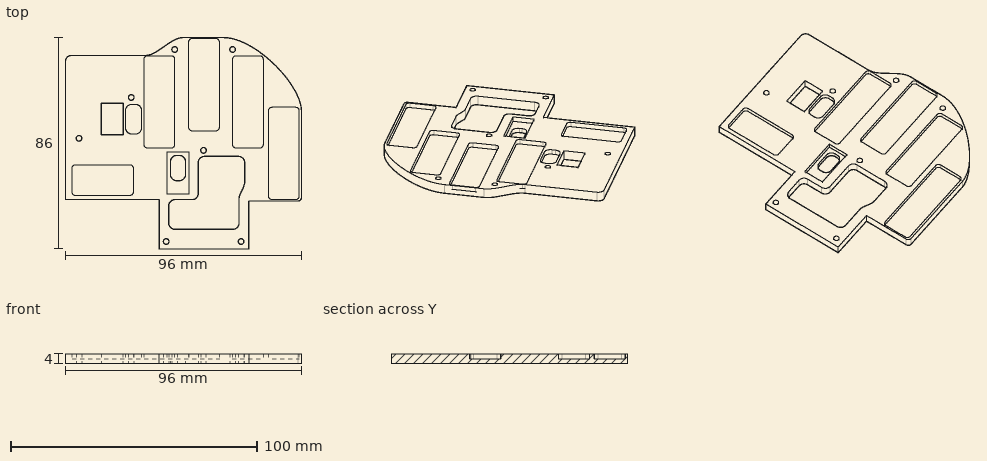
import cadquery as cq

width = 96.0
length = 86.0
thickness = 4.0
top_left_edge_y = 78.7
bottom_left_edge_y = 20.1
bottom_right_edge_y = 19.5
tab_left_x = 38.1
tab_right_x = 74.6

shoulder_start_x = 32.4
shoulder_end_x = 47.9
arch_start_x = 64.3
arch_start_handle = 12.9
arch_end_y = 56.2
arch_end_handle = 10.7

corner_radius = 2.5
lower_right_radius = 1.4
pad_radius = 1.4

pocket_depth = 2.0
pad_width = 12.5
pad_length = 37.5
pad_centers = [(38.2, 59.8), (56.4, 66.8), (74.2, 59.8), (88.8, 38.9)]
thumb_pad_length = 25.0
thumb_pad_center = (15.2, 28.0)
relief_size = (6.5, 12.0)
relief_center = (27.7, 52.8)
recess_size = (8.8, 16.9)
recess_center = (45.8, 30.9)

window_size = (8.8, 12.7)
window_center = (19.1, 52.9)
slot_size = (6.0, 10.2)
slot_center = (45.8, 32.9)
hole_diameter = 2.2
hole_centers = [
    (5.6, 45.0),
    (26.8, 61.6),
    (44.4, 81.1),
    (68.0, 81.1),
    (56.2, 40.1),
    (41.0, 3.1),
    (71.4, 3.1),
]

cutout_bottom_y = 8.1
cutout_step_y = 20.1
cutout_top_y = 37.6
cutout_lower_left_x = 42.0
cutout_upper_left_x = 54.0
cutout_lower_right_x = 70.6
cutout_upper_right_x = 72.9
jog_bottom_y = 20.4
jog_top_y = 27.2


def make_plate():
    """Plate with a square tab below, an S-shaped shoulder and a broad arch above."""
    shoulder_handle = (shoulder_end_x - shoulder_start_x) / 3
    outline = (
        cq.Workplane("XY")
        .moveTo(0, bottom_left_edge_y)
        .lineTo(0, top_left_edge_y)
        .lineTo(shoulder_start_x, top_left_edge_y)
        .bezier([
            (shoulder_start_x, top_left_edge_y),
            (shoulder_start_x + shoulder_handle, top_left_edge_y),
            (shoulder_end_x - shoulder_handle, length),
            (shoulder_end_x, length),
        ])
        .lineTo(arch_start_x, length)
        .bezier([
            (arch_start_x, length),
            (arch_start_x + arch_start_handle, length),
            (width, arch_end_y + arch_end_handle),
            (width, arch_end_y),
        ])
        .lineTo(width, bottom_right_edge_y)
        .lineTo(tab_right_x, bottom_right_edge_y)
        .lineTo(tab_right_x, 0)
        .lineTo(tab_left_x, 0)
        .lineTo(tab_left_x, bottom_left_edge_y)
        .close()
    )
    plate = outline.extrude(thickness)
    plate = round_upright_edge(plate, 0, top_left_edge_y, corner_radius)
    return round_upright_edge(plate, width, bottom_right_edge_y, lower_right_radius)


def round_upright_edge(body, x, y, radius):
    """Fillet the vertical edge of the body nearest to (x, y)."""
    edge = cq.selectors.NearestToPointSelector((x, y, thickness / 2))
    return body.edges("|Z").edges(edge).fillet(radius)


def make_box_cutter(size, center, depth, radius=0):
    """Rectangular cutter reaching down from the top face, with optional rounded corners."""
    cutter = (
        cq.Workplane("XY")
        .workplane(offset=thickness - depth)
        .center(*center)
        .rect(*size)
        .extrude(depth)
    )
    return cutter.edges("|Z").fillet(radius) if radius else cutter


def make_cutout_cutter():
    """L-shaped through cutter whose right side narrows downward along an S-curve."""
    jog_handle = (jog_top_y - jog_bottom_y) / 3
    cutter = (
        cq.Workplane("XY")
        .moveTo(cutout_lower_left_x, cutout_bottom_y)
        .lineTo(cutout_lower_left_x, cutout_step_y)
        .lineTo(cutout_upper_left_x, cutout_step_y)
        .lineTo(cutout_upper_left_x, cutout_top_y)
        .lineTo(cutout_upper_right_x, cutout_top_y)
        .lineTo(cutout_upper_right_x, jog_top_y)
        .bezier([
            (cutout_upper_right_x, jog_top_y),
            (cutout_upper_right_x, jog_top_y - jog_handle),
            (cutout_lower_right_x, jog_bottom_y + jog_handle),
            (cutout_lower_right_x, jog_bottom_y),
        ])
        .lineTo(cutout_lower_right_x, cutout_bottom_y)
        .close()
        .extrude(thickness)
    )
    corners = [
        (cutout_lower_left_x, cutout_bottom_y),
        (cutout_lower_left_x, cutout_step_y),
        (cutout_upper_left_x, cutout_step_y),
        (cutout_upper_left_x, cutout_top_y),
        (cutout_upper_right_x, cutout_top_y),
        (cutout_lower_right_x, cutout_bottom_y),
    ]
    for x, y in corners:
        cutter = round_upright_edge(cutter, x, y, corner_radius)
    return cutter


result = make_plate()

for pad_center in pad_centers:
    result = result.cut(make_box_cutter((pad_width, pad_length), pad_center, pocket_depth, pad_radius))
result = result.cut(
    make_box_cutter((thumb_pad_length, pad_width), thumb_pad_center, pocket_depth, pad_radius)
)

result = result.cut(make_box_cutter(relief_size, relief_center, pocket_depth, corner_radius))
result = result.cut(make_box_cutter(window_size, window_center, thickness))

result = result.cut(make_box_cutter(recess_size, recess_center, pocket_depth))
result = result.cut(make_box_cutter(slot_size, slot_center, thickness, corner_radius))

result = result.cut(make_cutout_cutter())
screw_holes = (
    cq.Workplane("XY").pushPoints(hole_centers).circle(hole_diameter / 2).extrude(thickness)
)
result = result.cut(screw_holes)